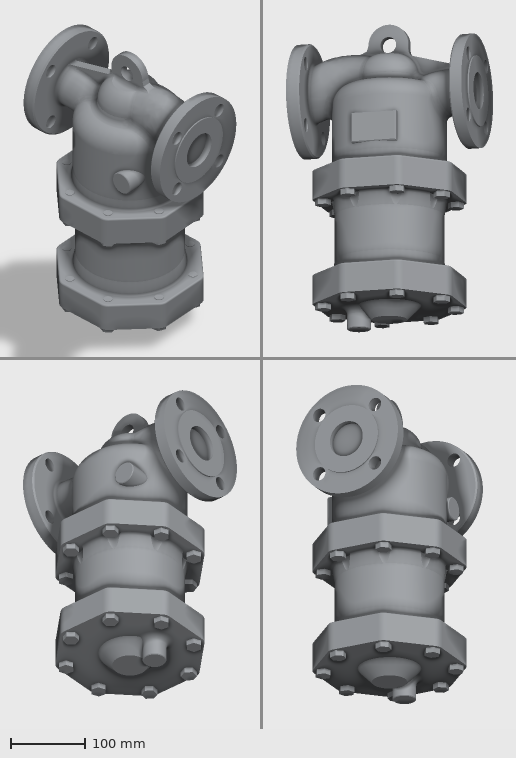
import cadquery as cq
import math


FACE_TO_FACE = 250.0
PIPE_FLANGE_DIA = 155.0
PIPE_FLANGE_THICK = 18.0
RAISED_FACE_DIA = 96.0
RAISED_FACE_HEIGHT = 2.0
PIPE_FLANGE_EDGE = 2.0
BORE_DIA = 50.0
BORE_DEPTH = 10.0
PIPE_BOLT_CIRCLE = 120.0
PIPE_BOLT_HOLE_DIA = 19.0
PIPE_BOLT_COUNT = 4
PIPE_BOLT_START_ANGLE = 45.0
PIPE_FLANGE_BACK = FACE_TO_FACE / 2 - RAISED_FACE_HEIGHT - PIPE_FLANGE_THICK

PIPE_DIA = 64.0
INLET_STRAIGHT_END = -94.0
INLET_END_X = -38.0
INLET_END_Z = -16.0
INLET_COLLAR_FILLET = 4.0
OUTLET_HALF_WIDTH = 32.5
OUTLET_SECTIONS = (
    (5.0, 52.0, -14.0),
    (35.0, 58.6, -9.0),
    (75.0, 58.0, -20.0),
    (PIPE_FLANGE_BACK, 47.0, -31.0),
)
OUTLET_COLLAR_FILLET = 3.0

OCTAGON_FLATS = 195.0
OCTAGON_HALF_SECTOR = 360.0 / 8 / 2
OCTAGON_CORNER_RADIUS = 15.0
OCTAGON_EDGE_FILLET = 2.5
OCTAGON_THICK = 41.0
FLANGE_PITCH = 144.5
UPPER_FLANGE_TOP = -104.5
LOWER_FLANGE_TOP = UPPER_FLANGE_TOP - FLANGE_PITCH
UPPER_FLANGE_BOTTOM = UPPER_FLANGE_TOP - OCTAGON_THICK
LOWER_FLANGE_BOTTOM = LOWER_FLANGE_TOP - OCTAGON_THICK

BODY_BOLT_CIRCLE = 180.0
BODY_BOLT_COUNT = 8
STUD_DIA = 12.0
STUD_PROTRUSION = 1.0
HEX_FLATS = 19.0
HEX_HEIGHT = 7.5
HEX_TURN = 7.5
SPOTFACE_DIA = 32.0

BODY_RADIUS = 155.0 / 2
BODY_FOOT_RADIUS = 79.0
BODY_TAPER_TOP = -88.8
FOOT_FILLET = 3.5
SHOULDER_RADIUS = 27.5
SHOULDER_START = -13.2
SHOULDER_TOP = SHOULDER_START + SHOULDER_RADIUS
DOME_RADIUS = 44.0
CASTING_FILLET = 10.0
DOME_ARC_RADIUS = 32.8
DOME_TOP_RADIUS = 24.0
DOME_ARC_START = SHOULDER_TOP + CASTING_FILLET

BARREL_RADIUS = 148.0 / 2
BARREL_FOOT_RADIUS = 154.0 / 2
BARREL_TAPER_LENGTH = 20.5

EYE_Z = 70.0
EYE_RADIUS = 28.0
EYE_HOLE_DIA = 22.0
EYE_THICK = 12.0
EYE_BASE_Z = 30.0
EYE_NECK_X = 30.0
EYE_NECK_Z = 63.0
EYE_RIGHT_FOOT_X = 40.0
EYE_RIGHT_FOOT_Z = 58.0
RIB_EYE_Z = 54.3
RIB_ROOT_X = -36.0
RIB_ROOT_Z = 0.0
RIB_FLANGE_Z = 34.0
EYE_SIDE_FILLET = 10.0
EYE_ROOT_FILLET = 4.0

PLUG_X = 49.0
PLUG_Z = -53.5
PLUG_DIA = 32.0
PLUG_FACE_Y = -72.5
BOSS_CHAMFER = 1.0

PAD_WIDTH = 63.0
PAD_HEIGHT = 41.0
PAD_Z = -58.5
PAD_FACE_Y = 78.6
PAD_CHAMFER = 1.5

DISH_BOTTOM_RADIUS = 24.0
DISH_BOTTOM = -309.0
DISH_TOP_RADIUS = DISH_BOTTOM_RADIUS + LOWER_FLANGE_BOTTOM - DISH_BOTTOM
DRAIN_X = 42.8
DRAIN_DIA = 32.0
DRAIN_BOTTOM = -320.0
DRAIN_ROOT_FILLET = 10.0

JOINT_TOLERANCE = 1e-3


def vertical_cylinder(x, y, bottom, top, diameter):
    return cq.Workplane("XY", origin=(x, y, bottom)).circle(diameter / 2).extrude(top - bottom)


def body_bolt_places():
    """Facing angle of each pair of body bolts, with the X and Y of the bolt."""
    step = 360 / BODY_BOLT_COUNT
    for index in range(BODY_BOLT_COUNT):
        side_angle = 90 * (index // 2)
        angle = math.radians(side_angle + step * (index % 2 - 0.5))
        x = BODY_BOLT_CIRCLE / 2 * math.cos(angle)
        y = BODY_BOLT_CIRCLE / 2 * math.sin(angle)
        yield side_angle, x, y


def octagon_flange(top):
    corner_dia = OCTAGON_FLATS / math.cos(math.radians(OCTAGON_HALF_SECTOR))
    flange = (
        cq.Workplane("XY", origin=(0, 0, top - OCTAGON_THICK))
        .polygon(8, corner_dia)
        .extrude(OCTAGON_THICK)
        .rotate((0, 0, 0), (0, 0, 1), OCTAGON_HALF_SECTOR)
    )
    flange = flange.edges("|Z").fillet(OCTAGON_CORNER_RADIUS)
    return flange.faces(">Z").edges().fillet(OCTAGON_EDGE_FILLET)


def upper_body():
    dome_arc_centre = DOME_RADIUS - DOME_ARC_RADIUS
    dome_angle = math.acos((DOME_TOP_RADIUS - dome_arc_centre) / DOME_ARC_RADIUS)
    dome_top = DOME_ARC_START + DOME_ARC_RADIUS * math.sin(dome_angle)
    dome_mid = (
        dome_arc_centre + DOME_ARC_RADIUS * math.cos(dome_angle / 2),
        DOME_ARC_START + DOME_ARC_RADIUS * math.sin(dome_angle / 2),
    )
    profile = (
        cq.Workplane("XZ")
        .moveTo(0, UPPER_FLANGE_TOP)
        .lineTo(BODY_FOOT_RADIUS + FOOT_FILLET, UPPER_FLANGE_TOP)
        .radiusArc((BODY_FOOT_RADIUS, UPPER_FLANGE_TOP + FOOT_FILLET), FOOT_FILLET)
        .lineTo(BODY_RADIUS, BODY_TAPER_TOP)
        .lineTo(BODY_RADIUS, SHOULDER_START)
        .radiusArc((BODY_RADIUS - SHOULDER_RADIUS, SHOULDER_TOP), -SHOULDER_RADIUS)
        .lineTo(DOME_RADIUS, SHOULDER_TOP)
        .lineTo(DOME_RADIUS, DOME_ARC_START)
        .threePointArc(dome_mid, (DOME_TOP_RADIUS, dome_top))
        .lineTo(0, dome_top)
        .close()
    )
    return profile.revolve(360, (0, 0), (0, 1))


def barrel():
    top = UPPER_FLANGE_BOTTOM
    bottom = LOWER_FLANGE_TOP
    foot = BARREL_FOOT_RADIUS
    return (
        cq.Workplane("XZ")
        .moveTo(0, bottom)
        .lineTo(foot + FOOT_FILLET, bottom)
        .radiusArc((foot, bottom + FOOT_FILLET), FOOT_FILLET)
        .lineTo(BARREL_RADIUS, bottom + BARREL_TAPER_LENGTH)
        .lineTo(BARREL_RADIUS, top - BARREL_TAPER_LENGTH)
        .lineTo(foot, top - FOOT_FILLET)
        .radiusArc((foot + FOOT_FILLET, top), FOOT_FILLET)
        .lineTo(0, top)
        .close()
        .revolve(360, (0, 0), (0, 1))
    )


def inlet_pipe():
    path = (
        cq.Workplane("XZ")
        .moveTo(-PIPE_FLANGE_BACK, 0)
        .lineTo(INLET_STRAIGHT_END, 0)
        .tangentArcPoint((INLET_END_X, INLET_END_Z), relative=False)
    )
    start = cq.Plane((-PIPE_FLANGE_BACK, 0, 0), xDir=(0, 0, -1), normal=(1, 0, 0))
    return cq.Workplane(start).circle(PIPE_DIA / 2).sweep(path)


def outlet_pipe():
    wires = []
    for x, top, bottom in OUTLET_SECTIONS:
        plane = cq.Workplane("YZ", origin=(x, 0, (top + bottom) / 2))
        wires.append(plane.ellipse(OUTLET_HALF_WIDTH, (top - bottom) / 2, 180).val())
    return cq.Workplane(cq.Solid.makeLoft(wires))


def pipe_flange(side):
    """Pipe flange with raised face; side is -1 for the inlet and +1 for the outlet."""
    disc = (
        cq.Workplane("YZ", origin=(PIPE_FLANGE_BACK, 0, 0))
        .circle(PIPE_FLANGE_DIA / 2)
        .extrude(PIPE_FLANGE_THICK)
        .faces("<X")
        .edges()
        .chamfer(PIPE_FLANGE_EDGE)
    )
    disc = disc.faces(">X").workplane().circle(RAISED_FACE_DIA / 2).extrude(RAISED_FACE_HEIGHT)
    holes = (
        cq.Workplane("YZ", origin=(PIPE_FLANGE_BACK, 0, 0))
        .polarArray(PIPE_BOLT_CIRCLE / 2, PIPE_BOLT_START_ANGLE, 360, PIPE_BOLT_COUNT)
        .circle(PIPE_BOLT_HOLE_DIA / 2)
        .extrude(PIPE_FLANGE_THICK)
    )
    disc = disc.cut(holes)
    return disc if side > 0 else disc.mirror("YZ")


def pipe_bore(side):
    start = side * (FACE_TO_FACE / 2)
    return cq.Workplane("YZ", origin=(start, 0, 0)).circle(BORE_DIA / 2).extrude(-side * BORE_DEPTH)


def lifting_eye():
    plate = (
        cq.Workplane("XZ", origin=(0, EYE_THICK / 2, 0))
        .moveTo(-EYE_RADIUS, EYE_Z)
        .threePointArc((0, EYE_Z + EYE_RADIUS), (EYE_RADIUS, EYE_Z))
        .lineTo(EYE_NECK_X, EYE_NECK_Z)
        .lineTo(EYE_RIGHT_FOOT_X, EYE_RIGHT_FOOT_Z)
        .lineTo(EYE_RIGHT_FOOT_X, EYE_BASE_Z)
        .lineTo(RIB_ROOT_X, RIB_ROOT_Z)
        .lineTo(-PIPE_FLANGE_BACK, RIB_ROOT_Z)
        .lineTo(-PIPE_FLANGE_BACK, RIB_FLANGE_Z)
        .lineTo(-EYE_RADIUS, RIB_EYE_Z)
        .close()
        .extrude(EYE_THICK)
    )
    corner = cq.selectors.NearestToPointSelector((-EYE_RADIUS, 0, RIB_EYE_Z))
    return plate.edges("|Y").edges(corner).fillet(EYE_SIDE_FILLET)


def eye_hole():
    return cq.Workplane("XZ", origin=(0, EYE_THICK, EYE_Z)).circle(EYE_HOLE_DIA / 2).extrude(2 * EYE_THICK)


def plug_boss():
    """Round boss that runs from inside the body wall out to its flat face."""
    face = cq.Workplane("XZ", origin=(PLUG_X, PLUG_FACE_Y, PLUG_Z))
    boss = face.circle(PLUG_DIA / 2).extrude(PLUG_FACE_Y / 2)
    return boss.faces("<Y").edges().chamfer(BOSS_CHAMFER)


def nameplate_pad():
    """Rectangular pad that runs from inside the body wall out to its flat face."""
    depth = PAD_FACE_Y / 2
    pad = cq.Workplane("XY").box(PAD_WIDTH, depth, PAD_HEIGHT).translate((0, PAD_FACE_Y - depth / 2, PAD_Z))
    return pad.faces(">Y").edges().chamfer(PAD_CHAMFER)


def bottom_dish():
    return (
        cq.Workplane("XZ")
        .moveTo(0, LOWER_FLANGE_BOTTOM)
        .lineTo(DISH_TOP_RADIUS, LOWER_FLANGE_BOTTOM)
        .lineTo(DISH_BOTTOM_RADIUS, DISH_BOTTOM)
        .lineTo(0, DISH_BOTTOM)
        .close()
        .revolve(360, (0, 0), (0, 1))
    )


def drain_boss():
    radius = DRAIN_DIA / 2
    root = LOWER_FLANGE_BOTTOM
    boss = (
        cq.Workplane("XZ")
        .moveTo(0, root)
        .lineTo(radius + DRAIN_ROOT_FILLET, root)
        .radiusArc((radius, root - DRAIN_ROOT_FILLET), -DRAIN_ROOT_FILLET)
        .lineTo(radius, DRAIN_BOTTOM + BOSS_CHAMFER)
        .lineTo(radius - BOSS_CHAMFER, DRAIN_BOTTOM)
        .lineTo(0, DRAIN_BOTTOM)
        .close()
        .revolve(360, (0, 0), (0, 1))
    )
    return boss.translate((DRAIN_X, 0, 0))


def body_bolts(flange_top):
    """Hex heads under a body flange, with stud ends standing proud on top of it."""
    flange_bottom = flange_top - OCTAGON_THICK
    bolts = []
    for side_angle, x, y in body_bolt_places():
        head = (
            cq.Workplane("XY")
            .polygon(6, HEX_FLATS / math.cos(math.pi / 6))
            .extrude(HEX_HEIGHT)
            .rotate((0, 0, 0), (0, 0, 1), side_angle + HEX_TURN)
            .translate((x, y, flange_bottom - HEX_HEIGHT))
        )
        bolts.append(head)
        bolts.append(vertical_cylinder(x, y, flange_bottom, flange_top + STUD_PROTRUSION, STUD_DIA))
    return bolts


def spotfaced_barrel():
    """Middle body whose upper flare is scalloped to clear the bolt heads."""
    body = barrel()
    bottom = UPPER_FLANGE_BOTTOM - BARREL_TAPER_LENGTH
    for _, x, y in body_bolt_places():
        body = body.cut(vertical_cylinder(x, y, bottom, UPPER_FLANGE_BOTTOM, SPOTFACE_DIA))
    return body


def seam_edges(joined, first, second):
    """Edges of a joined solid that lie on both of the solids it was made from."""
    seam = []
    for edge in joined.edges().vals():
        middle = cq.Vertex.makeVertex(*edge.positionAt(0.5).toTuple())
        if max(middle.distance(first.val()), middle.distance(second.val())) < JOINT_TOLERANCE:
            seam.append(edge)
    return seam


def dome_neck_edges(solid):
    """Circular edges left in the corner between shoulder and dome."""
    neck = []
    for edge in solid.edges("%CIRCLE").vals():
        at_neck_height = abs(edge.positionAt(0.5).z - SHOULDER_TOP) < JOINT_TOLERANCE
        if at_neck_height and abs(edge.radius() - DOME_RADIUS) < JOINT_TOLERANCE:
            neck.append(edge)
    return neck


def casting():
    """Domed upper body and both pipes, with every inside corner rounded alike."""
    body = upper_body()
    inlet = inlet_pipe()
    outlet = outlet_pipe()
    joined = body.union(inlet).union(outlet)
    corners = seam_edges(joined, body, inlet) + seam_edges(joined, body, outlet) + dome_neck_edges(joined)
    return joined.newObject(corners).fillet(CASTING_FILLET)


def add_pipe_flange(body, side, fillet):
    flange = pipe_flange(side)
    joined = body.union(flange)
    return joined.newObject(seam_edges(joined, body, flange)).fillet(fillet)


def add_lifting_eye(body):
    """Join the eye plate and round its foot, except where the rib runs into the flange collar."""
    plate = lifting_eye()
    joined = body.union(plate)
    collar_end = INLET_COLLAR_FILLET - PIPE_FLANGE_BACK
    foot = [edge for edge in seam_edges(joined, body, plate) if edge.positionAt(0.5).x > collar_end]
    return joined.newObject(foot).fillet(EYE_ROOT_FILLET).cut(eye_hole())


result = casting()
result = add_pipe_flange(result, -1, INLET_COLLAR_FILLET)
result = add_pipe_flange(result, 1, OUTLET_COLLAR_FILLET)
result = result.cut(pipe_bore(-1)).cut(pipe_bore(1))
result = add_lifting_eye(result)
result = result.union(plug_boss()).union(nameplate_pad())
result = result.union(spotfaced_barrel())
for flange_top in (UPPER_FLANGE_TOP, LOWER_FLANGE_TOP):
    result = result.union(octagon_flange(flange_top))
    for bolt in body_bolts(flange_top):
        result = result.union(bolt)
result = result.union(bottom_dish()).union(drain_boss())